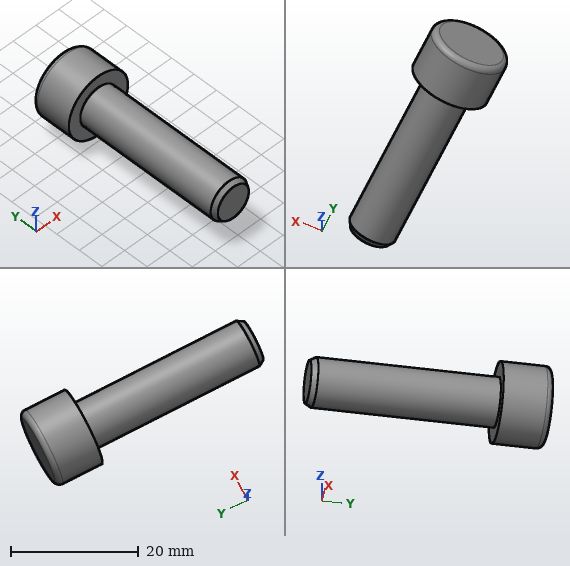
import cadquery as cq
import math

head_diameter = 13.0
head_height = 8.0
head_edge_radius = 1.0

shank_diameter = 8.0
shank_length = 30.0
tip_chamfer_length = 1.0
tip_chamfer_angle = 30.0

head_radius = head_diameter / 2
shank_radius = shank_diameter / 2
tip_radius = shank_radius - tip_chamfer_length * math.tan(math.radians(tip_chamfer_angle))


def make_head():
    """Cylindrical head with a rounded outer edge on its free end."""
    head = cq.Workplane("XZ").circle(head_radius).extrude(-head_height)
    return head.faces(">Y").edges().fillet(head_edge_radius)


def make_shank():
    """Plain shank with a chamfered tip, revolved about the Y axis."""
    profile = (
        cq.Workplane("XY")
        .moveTo(0, 0)
        .lineTo(shank_radius, 0)
        .lineTo(shank_radius, tip_chamfer_length - shank_length)
        .lineTo(tip_radius, -shank_length)
        .lineTo(0, -shank_length)
        .close()
    )
    return profile.revolve(360, (0, 0, 0), (0, 1, 0))


result = make_head().union(make_shank())